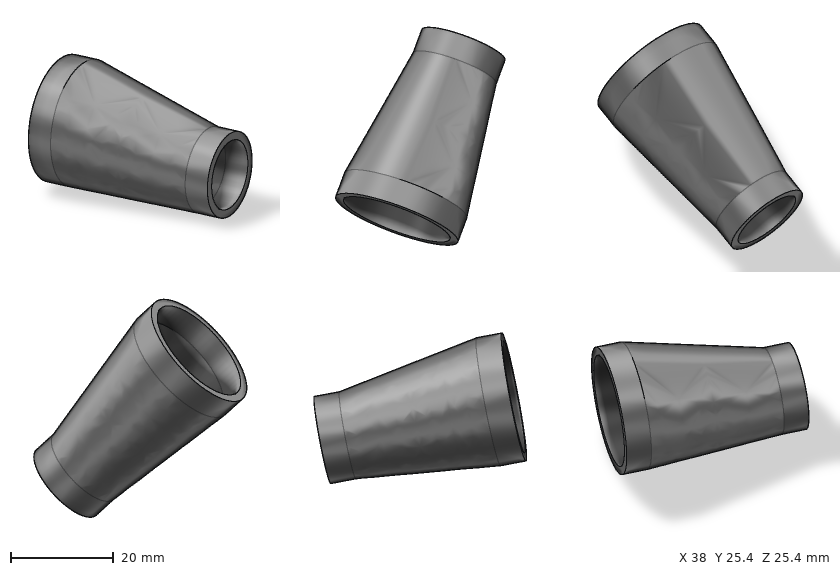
import cadquery as cq

length = 38.0
collar_length = 5.0
large_outer_diameter = 25.4
large_bore_diameter = 22.1
small_outer_diameter = 17.3
small_bore_diameter = 14.0

taper_length = length - 2 * collar_length

small_end_drop = (large_outer_diameter - small_outer_diameter) / 2


def reducer_body(large_diameter, small_diameter):
    """Solid made of a large collar, an eccentric taper and a small collar."""
    large_collar = cq.Workplane("YZ").circle(large_diameter / 2).extrude(collar_length)
    taper = (
        cq.Workplane("YZ", origin=(collar_length, 0, 0))
        .circle(large_diameter / 2)
        .workplane(offset=taper_length)
        .center(0, -small_end_drop)
        .circle(small_diameter / 2)
        .loft(ruled=True)
    )
    small_collar = (
        cq.Workplane("YZ", origin=(length - collar_length, 0, -small_end_drop))
        .circle(small_diameter / 2)
        .extrude(collar_length)
    )
    return large_collar.union(taper).union(small_collar)


outside = reducer_body(large_outer_diameter, small_outer_diameter)
bore = reducer_body(large_bore_diameter, small_bore_diameter)
result = outside.cut(bore)